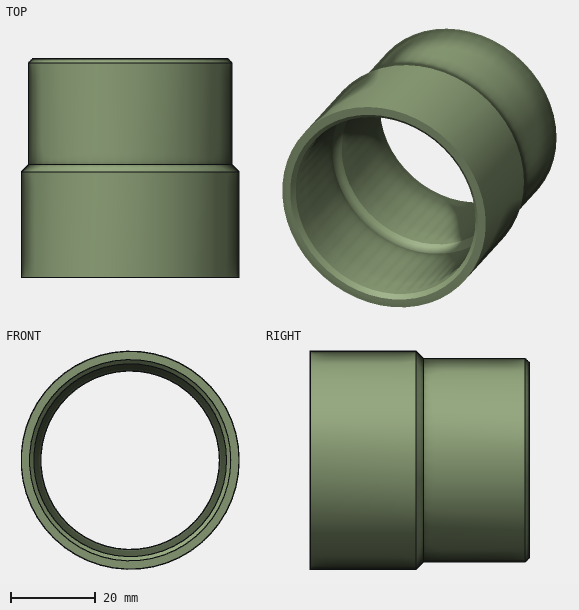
import cadquery as cq

total_length = 51.7
sleeve_diameter = 51.5
spigot_diameter = 48.1
socket_diameter = 45.5
bore_diameter = 42.1
sleeve_length = 25.0
socket_depth = 25.0
mouth_chamfer = 1.0
spigot_chamfer = 1.0

sleeve_radius = sleeve_diameter / 2
spigot_radius = spigot_diameter / 2
socket_radius = socket_diameter / 2
bore_radius = bore_diameter / 2
shoulder_length = sleeve_radius - spigot_radius
inner_taper_length = socket_radius - bore_radius
front_y = -total_length / 2
rear_y = total_length / 2
shoulder_y = front_y + sleeve_length
socket_end_y = front_y + socket_depth


def make_coupling():
    """Revolve the wall section (radius along X, length along Y) about Y."""
    outer_wall = [
        (sleeve_radius, front_y),
        (sleeve_radius, shoulder_y),
        (spigot_radius, shoulder_y + shoulder_length),
        (spigot_radius, rear_y - spigot_chamfer),
        (spigot_radius - spigot_chamfer, rear_y),
    ]
    inner_wall = [
        (bore_radius, rear_y),
        (bore_radius, socket_end_y + inner_taper_length),
        (socket_radius, socket_end_y),
        (socket_radius, front_y + mouth_chamfer),
        (socket_radius + mouth_chamfer, front_y),
    ]
    section = cq.Workplane("XY").polyline(outer_wall + inner_wall).close()
    return section.revolve(360, (0, 0, 0), (0, 1, 0))


result = make_coupling()